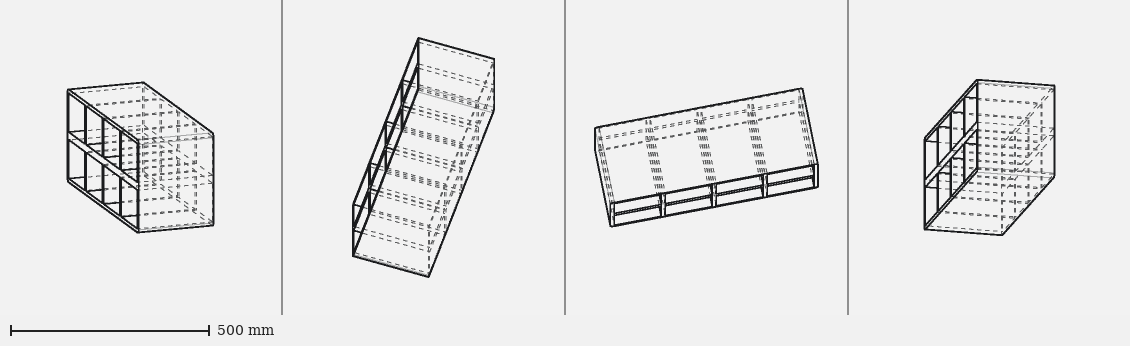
import cadquery as cq

width = 532.0
depth = 200.0
height = 242.0

wall = 10.0
middle_shelf = 2 * wall
corner_radius = 10.0
columns = 4
rows = 2

cell_width = (width - (columns + 1) * wall) / columns
cell_height = (height - 2 * wall - (rows - 1) * middle_shelf) / rows


def make_body():
    """Solid block with its four long edges along Y rounded."""
    return cq.Workplane("XY").box(width, depth, height).edges("|Y").fillet(corner_radius)


def make_compartments():
    """Square-cornered compartments, open at the front and back."""
    return (
        cq.Workplane("XZ")
        .rarray(cell_width + wall, cell_height + middle_shelf, columns, rows)
        .rect(cell_width, cell_height)
        .extrude(depth, both=True)
    )


result = make_body().cut(make_compartments())